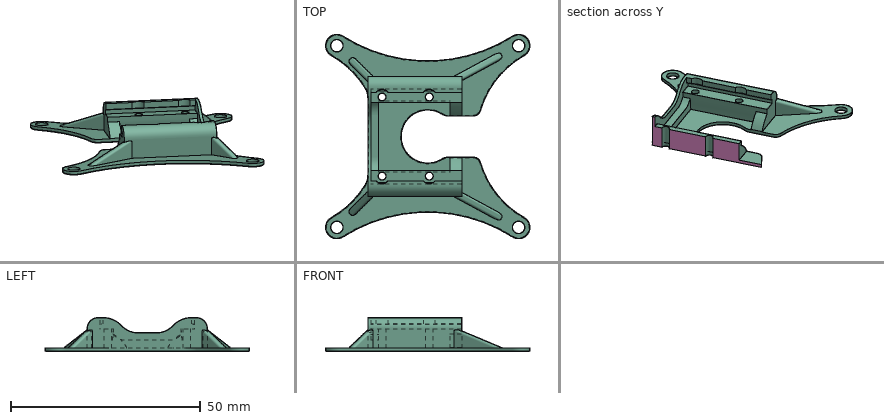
import cadquery as cq
import math

plate_thickness = 1.0
hole_offset = 24.0
pad_radius = 3.0
mount_hole_diameter = 3.2
waist_half_length = 20.0
flank_center_x = 37.5
left_blend_radius = 5.0
bottom_chamfer = 0.2

opening_radius = 7.0
slot_half_width = 5.42
slot_corner_radius = 2.0
neck_radius = 3.0

holder_left = -15.85
holder_right = 9.0
holder_half_width = 15.9
holder_height = 9.0
shoulder_radius = 3.0
crest_inner_y = 11.7
sweep_middle_y = 6.77
saddle_half_width = 2.55
saddle_height = 5.0
end_wall_thickness = 0.8

seat_height = 6.0
seat_edge_y = 8.96
undercut_middle_y = 9.19
undercut_middle_z = 3.2
undercut_foot_y = 9.42
groove_y = 12.5
groove_outer_height = 1.1
groove_inner_height = 1.4
screw_hole_diameter = 2.0
screw_x_positions = (-12.05, 0.4)
screw_y = 10.45
head_clearance_radius = 2.0
head_clearance_bottom = 7.25

rib_root_y = 9.7
left_rib_length = 2.1
left_rib_floor_y = 5.65
left_rib_floor_z = 3.0
left_rib_radius = 4.45
right_rib_length = 3.13
right_rib_radius = 10.0
right_rib_crown_y = 14.0
right_rib_crown_z = 5.98

gusset_width = 2.0
gusset_height = 5.4
gusset_overlap = 2.2
gusset_fillet = 0.65
left_gusset_length = 6.5
right_gusset_length = 11.9


def both_sides(body):
    """Join a body with its mirror image across the XZ plane."""
    return body.union(body.mirror("XZ"))


def point_on_circle(center, radius, angle):
    """Point of a circle at an angle in radians."""
    return (center[0] + radius * math.cos(angle), center[1] + radius * math.sin(angle))


def direction(start, end):
    """Angle in radians of the line from start to end."""
    return math.atan2(end[1] - start[1], end[0] - start[0])


def make_plate():
    """Four-armed plate with the keyhole opening towards +X and a chamfered bottom edge."""
    pad_drop = hole_offset - waist_half_length
    waist_radius = (hole_offset**2 + pad_drop**2 - pad_radius**2) / (2 * (pad_radius + pad_drop))
    waist_center = (0, waist_half_length + waist_radius)

    flank_center = (flank_center_x, 0)
    flank_radius = math.hypot(flank_center_x - hole_offset, hole_offset) - pad_radius
    pad = (hole_offset, hole_offset)

    waist_point = point_on_circle(pad, pad_radius, direction(pad, waist_center))
    pad_tip = point_on_circle(pad, pad_radius, math.pi / 4)
    flank_start = point_on_circle(pad, pad_radius, direction(pad, flank_center))

    corner_y = slot_half_width + slot_corner_radius
    corner_reach = flank_radius + slot_corner_radius
    corner_center = (flank_center_x - math.sqrt(corner_reach**2 - corner_y**2), corner_y)
    corner_angle = direction(corner_center, flank_center)
    flank_end = point_on_circle(corner_center, slot_corner_radius, corner_angle)
    corner_middle = point_on_circle(corner_center, slot_corner_radius, (corner_angle - math.pi / 2) / 2)
    slot_start = (corner_center[0], slot_half_width)

    neck_y = slot_half_width + neck_radius
    neck_x = math.sqrt((opening_radius + neck_radius) ** 2 - neck_y**2)
    neck_center = (neck_x, neck_y)
    neck_angle = direction(neck_center, (0, 0))
    slot_end = (neck_x, slot_half_width)
    neck_middle = point_on_circle(neck_center, neck_radius, (neck_angle - math.pi / 2) / 2)
    opening_start = point_on_circle(neck_center, neck_radius, neck_angle)

    blend_x = holder_left - left_blend_radius
    blend_reach = flank_radius - left_blend_radius
    blend_y = math.sqrt(blend_reach**2 - (blend_x + flank_center_x) ** 2)
    blend_center = (blend_x, blend_y)
    left_flank_center = (-flank_center_x, 0)
    blend_angle = direction(left_flank_center, blend_center)
    left_flank_end = point_on_circle(blend_center, left_blend_radius, blend_angle)
    blend_middle = point_on_circle(blend_center, left_blend_radius, blend_angle / 2)
    blend_end = (holder_left, blend_y)

    right_flank_middle = point_on_circle(
        flank_center,
        flank_radius,
        (direction(flank_center, flank_start) + direction(flank_center, flank_end)) / 2,
    )
    left_flank_middle = point_on_circle(
        left_flank_center,
        flank_radius,
        (math.pi - direction(flank_center, flank_start) + blend_angle) / 2,
    )

    def flip_x(point):
        return (-point[0], point[1])

    opening_middle = point_on_circle((0, 0), opening_radius, 3 * math.pi / 4)
    half = (
        cq.Workplane("XY")
        .moveTo(-opening_radius, 0)
        .threePointArc(opening_middle, opening_start)
        .threePointArc(neck_middle, slot_end)
        .lineTo(*slot_start)
        .threePointArc(corner_middle, flank_end)
        .threePointArc(right_flank_middle, flank_start)
        .threePointArc(pad_tip, waist_point)
        .threePointArc((0, waist_half_length), flip_x(waist_point))
        .threePointArc(flip_x(pad_tip), flip_x(flank_start))
        .threePointArc(left_flank_middle, left_flank_end)
        .threePointArc(blend_middle, blend_end)
        .lineTo(holder_left, 0)
        .close()
        .extrude(plate_thickness)
    )
    plate = both_sides(half).clean()
    return plate.faces("<Z").chamfer(bottom_chamfer)


def level_arc_middle(start, end):
    """Middle point of the YZ arc that leaves start horizontally and reaches end."""
    run = end[0] - start[0]
    rise = end[1] - start[1]
    half_angle = math.atan2(abs(rise), abs(run))
    radius = abs(run) / math.sin(2 * half_angle)
    middle_y = start[0] + math.copysign(radius * math.sin(half_angle), run)
    middle_z = start[1] + math.copysign(radius * (1 - math.cos(half_angle)), rise)
    return (middle_y, middle_z)


def make_holder_blank():
    """Solid with the end wall's outline, running the full length of the holder."""
    shoulder_y = holder_half_width - shoulder_radius
    shoulder_z = holder_height - shoulder_radius
    shoulder_middle = point_on_circle((shoulder_y, shoulder_z), shoulder_radius, math.pi / 4)
    crest = (crest_inner_y, holder_height)
    saddle = (saddle_half_width, saddle_height)

    upper_share = (crest_inner_y - sweep_middle_y) / (crest_inner_y - saddle_half_width)
    upper_drop = upper_share * (holder_height - saddle_height)
    sweep_middle = (sweep_middle_y, holder_height - upper_drop)

    half = (
        cq.Workplane("YZ", origin=(holder_left, 0, 0))
        .moveTo(0, plate_thickness)
        .lineTo(holder_half_width, plate_thickness)
        .lineTo(holder_half_width, shoulder_z)
        .threePointArc(shoulder_middle, (shoulder_y, holder_height))
        .lineTo(*crest)
        .threePointArc(level_arc_middle(crest, sweep_middle), sweep_middle)
        .threePointArc(level_arc_middle(saddle, sweep_middle), saddle)
        .lineTo(0, saddle_height)
        .close()
        .extrude(holder_right - holder_left)
    )
    return both_sides(half)


def make_cavity():
    """Space between the side walls: open top, board grooves and undercut seats."""
    inner_left = holder_left + end_wall_thickness
    upper_arc_middle = (
        seat_edge_y + (undercut_middle_y - seat_edge_y) / 4,
        (seat_height + undercut_middle_z) / 2,
    )
    lower_arc_middle = (
        undercut_foot_y - (undercut_foot_y - undercut_middle_y) / 4,
        (undercut_middle_z + plate_thickness) / 2,
    )
    half = (
        cq.Workplane("YZ", origin=(inner_left, 0, 0))
        .moveTo(0, plate_thickness)
        .lineTo(undercut_foot_y, plate_thickness)
        .threePointArc(lower_arc_middle, (undercut_middle_y, undercut_middle_z))
        .threePointArc(upper_arc_middle, (seat_edge_y, seat_height))
        .lineTo(groove_y, seat_height)
        .lineTo(groove_y, seat_height + groove_outer_height)
        .lineTo(crest_inner_y, seat_height + groove_inner_height)
        .lineTo(crest_inner_y, holder_height)
        .lineTo(0, holder_height)
        .close()
        .extrude(holder_right - inner_left)
    )
    return both_sides(half)


def make_left_rib():
    """Low step against the end wall, curving up into the side walls."""
    lean = math.asin((seat_edge_y - left_rib_floor_y) / left_rib_radius)
    center = (left_rib_floor_y, left_rib_floor_z + left_rib_radius)
    curve_middle = point_on_circle(center, left_rib_radius, (lean - math.pi) / 2)
    curve_end = point_on_circle(center, left_rib_radius, lean - math.pi / 2)
    root_z = curve_end[1] + (rib_root_y - seat_edge_y) * math.tan(lean)
    half = (
        cq.Workplane("YZ", origin=(holder_left + end_wall_thickness, 0, 0))
        .moveTo(0, plate_thickness)
        .lineTo(rib_root_y, plate_thickness)
        .lineTo(rib_root_y, root_z)
        .lineTo(*curve_end)
        .threePointArc(curve_middle, (left_rib_floor_y, left_rib_floor_z))
        .lineTo(0, left_rib_floor_z)
        .close()
        .extrude(left_rib_length)
    )
    return both_sides(half)


def make_right_ribs():
    """Convex ribs at the open end, falling from the side walls to the slot edges."""
    def rib_height(y):
        rise = math.sqrt(right_rib_radius**2 - (right_rib_crown_y - y) ** 2)
        return right_rib_crown_z - right_rib_radius + rise

    slot_edge = (slot_half_width, rib_height(slot_half_width))
    middle_y = (slot_half_width + rib_root_y) / 2
    rib = (
        cq.Workplane("YZ", origin=(holder_right - right_rib_length, 0, 0))
        .moveTo(slot_half_width, plate_thickness)
        .lineTo(rib_root_y, plate_thickness)
        .lineTo(rib_root_y, rib_height(rib_root_y))
        .threePointArc((middle_y, rib_height(middle_y)), slot_edge)
        .close()
        .extrude(right_rib_length)
    )
    return both_sides(rib)


def make_gussets(corner_x, side, length):
    """Sloping braces from the holder corners at corner_x towards the mounting holes."""
    corner = (corner_x, holder_half_width)
    angle = direction(corner, (side * hole_offset, hole_offset))
    slope = (gusset_height - plate_thickness) / length
    brace = (
        cq.Workplane("XZ")
        .moveTo(-gusset_overlap, plate_thickness)
        .lineTo(length, plate_thickness)
        .lineTo(-gusset_overlap, gusset_height + slope * gusset_overlap)
        .close()
        .extrude(gusset_width / 2, both=True)
        .faces("not (|X or |Y or |Z)")
        .edges("not |Y")
        .fillet(gusset_fillet)
    )
    placed = brace.rotate((0, 0, 0), (0, 0, 1), math.degrees(angle)).translate((*corner, 0))
    return both_sides(placed)


def drill_mounting_holes(body):
    """Through holes in the four corner pads."""
    holes = (
        cq.Workplane("XY")
        .rect(2 * hole_offset, 2 * hole_offset, forConstruction=True)
        .vertices()
        .circle(mount_hole_diameter / 2)
        .extrude(holder_height)
    )
    return body.cut(holes)


def drill_board_screws(body):
    """Screw holes through the seats, with head clearance cut into the crests above."""
    positions = [(x, side * screw_y) for x in screw_x_positions for side in (-1, 1)]
    holes = cq.Workplane("XY").pushPoints(positions).circle(screw_hole_diameter / 2).extrude(holder_height)
    clearances = (
        cq.Workplane("XY", origin=(0, 0, head_clearance_bottom))
        .pushPoints(positions)
        .circle(head_clearance_radius)
        .extrude(holder_height)
    )
    return body.cut(holes).cut(clearances)


holder = make_holder_blank().cut(make_cavity()).union(make_left_rib()).union(make_right_ribs())
result = make_plate().union(holder)
result = result.union(make_gussets(holder_left, -1, left_gusset_length))
result = result.union(make_gussets(holder_right, 1, right_gusset_length))
result = drill_board_screws(drill_mounting_holes(result))